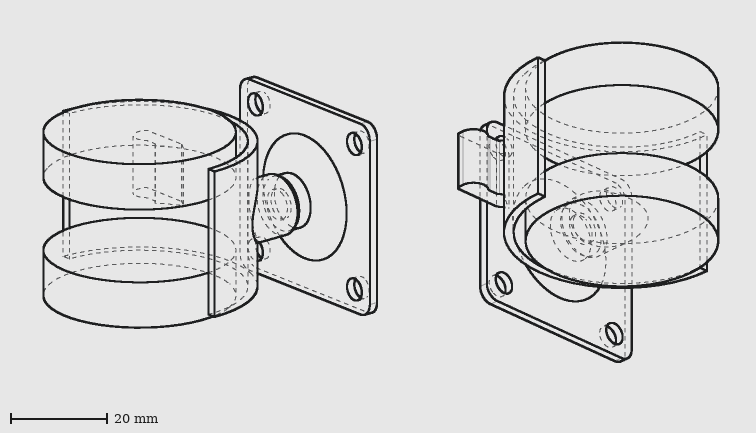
import cadquery as cq
import math


wheel_radius = 20.0
wheel_width = 10.0
wheel_gap = 16.0
dome_height = 0.9

fender_outer_radius = 24.5
fender_thickness = 2.0
fender_inner_radius = fender_outer_radius - fender_thickness
fender_height = 32.0
fender_end_y = -0.2

plate_size = 42.0
plate_thickness = 2.0
plate_back_y = 35.0
plate_corner_radius = 3.05
plate_hole_diameter = 4.7
plate_hole_spacing = 32.0

swivel_x = 14.0
cone_radius = 13.5
cone_height = 3.35
hub_radius = 5.9
hub_height = 3.1
neck_radius = 3.3
neck_height = 1.05
post_radius = 6.55
plate_front_y = plate_back_y - plate_thickness
cone_end_y = plate_front_y - cone_height
hub_end_y = cone_end_y - hub_height
post_face_y = hub_end_y - neck_height

lever_height = 12.6
lever_left_x = -25.6
lever_top_y = 23.0
lever_corner_radius = 0.9
lever_tip_radius = 3.05
lever_tip_center_y = 21.0
lever_underside_y = 18.9
lever_fillet_radius = 1.2
lever_top_bend_x = -13.9
lever_top_end = (-11.65, 21.6)
lever_underside_bend_x = -17.95
lever_underside_mid = (-17.6, 18.85)
lever_slope_start = (-17.3, 18.7)
lever_underside_end = (-16.45, 17.95)
lever_root = (-13.35, 18.8)


def make_wheel(side):
    """Solid wheel with a domed outer face; side is +1 (upper) or -1 (lower)."""
    inner_z = side * wheel_gap / 2
    rim_z = inner_z + side * wheel_width
    crown_z = rim_z + side * dome_height
    dome_radius = (wheel_radius**2 + dome_height**2) / (2 * dome_height)
    mid_radius = wheel_radius / 2
    mid_drop = dome_radius - math.sqrt(dome_radius**2 - mid_radius**2)
    return (
        cq.Workplane("XZ")
        .moveTo(0, inner_z)
        .lineTo(wheel_radius, inner_z)
        .lineTo(wheel_radius, rim_z)
        .threePointArc((mid_radius, crown_z - side * mid_drop), (0, crown_z))
        .close()
        .revolve(360, (0, 0, 0), (0, 1, 0))
    )


def make_lever():
    """Brake lever with a rounded tip blended into its flat underside."""
    tip_x = lever_left_x + lever_tip_radius
    tip_y = lever_tip_center_y
    blend_y = lever_underside_y - lever_fillet_radius
    center_distance = lever_tip_radius + lever_fillet_radius
    blend_x = tip_x + math.sqrt(center_distance**2 - (tip_y - blend_y) ** 2)
    share = lever_tip_radius / center_distance
    tangent_point = (tip_x + share * (blend_x - tip_x), tip_y + share * (blend_y - tip_y))
    tip_bottom = (tip_x, tip_y - lever_tip_radius)
    blend_angle = math.atan2(tip_y - blend_y, tip_x - blend_x)
    mid_angle = (blend_angle + math.pi / 2) / 2
    blend_mid = (
        blend_x + lever_fillet_radius * math.cos(mid_angle),
        blend_y + lever_fillet_radius * math.sin(mid_angle),
    )
    corner_x = lever_left_x + lever_corner_radius
    corner_y = lever_top_y - lever_corner_radius
    corner_mid_offset = lever_corner_radius * math.sqrt(0.5)
    return (
        cq.Workplane("XY", origin=(0, 0, -lever_height / 2))
        .moveTo(corner_x, lever_top_y)
        .lineTo(lever_top_bend_x, lever_top_y)
        .lineTo(*lever_top_end)
        .lineTo(*lever_root)
        .lineTo(*lever_underside_end)
        .lineTo(*lever_slope_start)
        .threePointArc(lever_underside_mid, (lever_underside_bend_x, lever_underside_y))
        .lineTo(blend_x, lever_underside_y)
        .threePointArc(blend_mid, tangent_point)
        .threePointArc(tip_bottom, (lever_left_x, tip_y))
        .lineTo(lever_left_x, corner_y)
        .threePointArc((corner_x - corner_mid_offset, corner_y + corner_mid_offset), (corner_x, lever_top_y))
        .close()
        .extrude(lever_height)
    )


def make_fender():
    """Half-round fender with the swivel post and brake lever on its outside."""
    shell = cq.Workplane("XY").circle(fender_outer_radius).extrude(fender_height / 2, both=True)
    keep_size = 2 * fender_outer_radius
    keep = cq.Workplane("XY").box(keep_size, keep_size, fender_height)
    shell = shell.intersect(keep.translate((0, fender_end_y + keep_size / 2, 0)))
    post = (
        cq.Workplane("XZ", origin=(swivel_x, post_face_y, 0))
        .circle(post_radius)
        .extrude(post_face_y)
    )
    wheel_space = cq.Workplane("XY").circle(fender_inner_radius).extrude(fender_height, both=True)
    return shell.union(post).union(make_lever()).cut(wheel_space)


def make_mounting_plate():
    """Square plate carrying the cone, hub and neck of the swivel."""
    plate = (
        cq.Workplane("XZ", origin=(swivel_x, plate_back_y, 0))
        .rect(plate_size, plate_size)
        .extrude(plate_thickness)
        .edges("|Y")
        .fillet(plate_corner_radius)
        .faces("<Y")
        .workplane(centerOption="CenterOfBoundBox")
        .rect(plate_hole_spacing, plate_hole_spacing, forConstruction=True)
        .vertices()
        .hole(plate_hole_diameter)
    )
    swivel = (
        cq.Workplane("XY", origin=(swivel_x, 0, 0))
        .moveTo(0, plate_front_y)
        .lineTo(cone_radius, plate_front_y)
        .lineTo(hub_radius, cone_end_y)
        .lineTo(hub_radius, hub_end_y)
        .lineTo(neck_radius, hub_end_y)
        .lineTo(neck_radius, post_face_y)
        .lineTo(0, post_face_y)
        .close()
        .revolve(360, (0, 0, 0), (0, 1, 0))
    )
    return plate.union(swivel)


wheels = [make_wheel(side).val() for side in (1, -1)]
fender = make_fender()
mounting_plate = make_mounting_plate()

result = cq.Compound.makeCompound([fender.val(), mounting_plate.val(), *wheels])